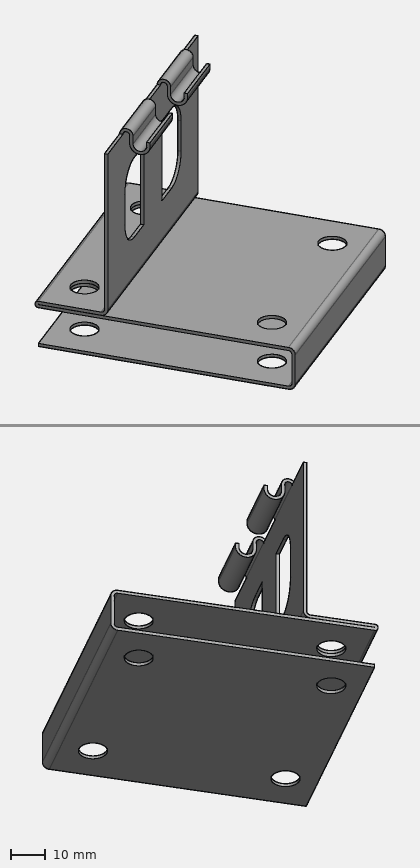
import cadquery as cq
import math

length = 79.25
width = 76.2
height = 68.5

thickness = 1.0
bend_radius = thickness
outer_bend = bend_radius + thickness
seam_gap = 0.04

channel_height = 13.6
hem_radius = seam_gap / 2
hem_outer = hem_radius + thickness
wall_x = 21.2
wall_top = height - outer_bend
ledge_top = channel_height + seam_gap + thickness

hook_width = 19.0
hook_y = 15.85
hook_radius = 2.1
cup_bottom = 60.8
hook_tip = 65.15

hole_diameter = 8.3
hole_x_positions = (10.55, 67.6)
hole_y = 25.45

window_inner_y = 7.8
window_outer_y = 23.7
window_bottom = 28.1
window_top = 54.05
window_radius = 8.0


def run(distance):
    """A straight stretch of sheet."""
    return ("run", distance, 0)


def bend(inside_radius, angle):
    """A bend in the sheet; positive angles turn left."""
    return ("bend", inside_radius, angle)


def folded_sheet(x, z, heading, steps, sheet_width, center_y):
    """Sheet following steps from the mid-thickness point (x, z), headings in degrees."""

    def beside(px, pz, direction, offset):
        """Point a given distance to the left of the path."""
        angle = math.radians(direction + 90)
        return (px + offset * math.cos(angle), pz + offset * math.sin(angle))

    half = thickness / 2
    sides = {half: [], -half: []}
    starts = {offset: beside(x, z, heading, offset) for offset in sides}
    for kind, size, angle in steps:
        if kind == "run":
            x += size * math.cos(math.radians(heading))
            z += size * math.sin(math.radians(heading))
            for offset, side in sides.items():
                side.append((None, beside(x, z, heading, offset)))
        else:
            reach = math.copysign(size + half, angle)
            center = beside(x, z, heading, reach)
            middle = heading + angle / 2
            heading += angle
            x, z = beside(*center, heading, -reach)
            for offset, side in sides.items():
                mid_point = beside(*center, middle, offset - reach)
                side.append((mid_point, beside(x, z, heading, offset)))

    left, right = sides[half], sides[-half]
    outline = cq.Workplane("XZ", origin=(0, center_y, 0)).moveTo(*starts[half])
    for middle, end in left:
        outline = outline.threePointArc(middle, end) if middle else outline.lineTo(*end)
    outline = outline.lineTo(*right[-1][1])
    begins = [starts[-half]] + [end for _, end in right[:-1]]
    for (middle, _), begin in zip(reversed(right), reversed(begins)):
        outline = outline.threePointArc(middle, begin) if middle else outline.lineTo(*begin)
    return outline.close().extrude(sheet_width / 2, both=True)


def make_base_and_wall():
    """Channel, flattened hem, ledge and upright wall from one sheet."""
    steps = [
        run(length - outer_bend - thickness),
        bend(bend_radius, 90),
        run(channel_height - 2 * outer_bend),
        bend(bend_radius, 90),
        run(length - outer_bend - hem_outer),
        bend(hem_radius, -180),
        run(wall_x - bend_radius - hem_outer),
        bend(bend_radius, 90),
        run(wall_top - ledge_top - bend_radius),
    ]
    return folded_sheet(thickness, thickness / 2, 0, steps, width, 0)


def make_hook(center_y):
    """S-shaped hook rolled over from the top edge of the wall."""
    cup_center_z = cup_bottom + hook_radius + thickness
    steps = [
        bend(bend_radius, -180),
        run(wall_top - cup_center_z),
        bend(hook_radius, 180),
        run(hook_tip - cup_center_z),
    ]
    return folded_sheet(wall_x + thickness / 2, wall_top, 90, steps, hook_width, center_y)


def make_window(side):
    """Cutter for one D-shaped window, rounded towards the wall's side edge."""
    window = (
        cq.Workplane("XY")
        .box(
            3 * thickness,
            window_outer_y - window_inner_y,
            window_top - window_bottom,
        )
        .translate((
            wall_x + thickness / 2,
            side * (window_inner_y + window_outer_y) / 2,
            (window_bottom + window_top) / 2,
        ))
    )
    outer_face = ">Y" if side > 0 else "<Y"
    return window.faces(outer_face).edges("|X").fillet(window_radius)


def make_holes():
    """Cutters for the holes through every layer of the base."""
    points = [(x, y) for x in hole_x_positions for y in (-hole_y, hole_y)]
    return cq.Workplane("XY").pushPoints(points).circle(hole_diameter / 2).extrude(height)


result = make_base_and_wall().cut(make_holes())
for side in (-1, 1):
    result = result.union(make_hook(side * hook_y))
    result = result.cut(make_window(side))